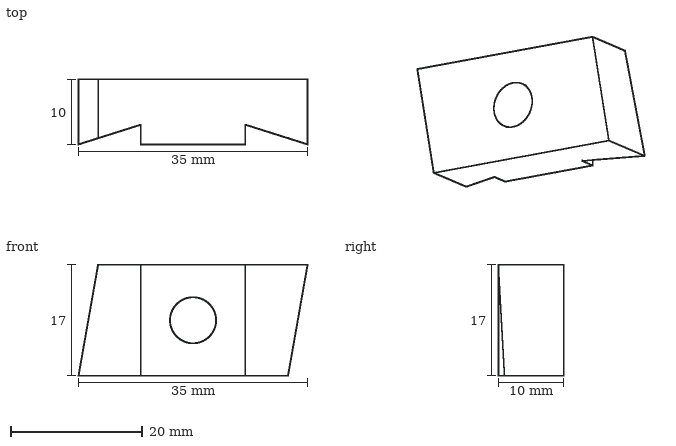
import cadquery as cq
import math

length = 35.0
thickness = 10.0
height = 17.0

end_lean_angle = 10.0
end_lean = height * math.tan(math.radians(end_lean_angle))

pad_width = 16.0
pad_step = 3.0

hole_diameter = 7.0

half_length = length / 2
half_height = height / 2
half_pad = pad_width / 2
front_y = -thickness / 2
back_y = thickness / 2


def profile_bar():
    """Bar with the pad and the two sloping front faces, square at both ends."""
    root_y = front_y + pad_step
    outline = [
        (-half_length, back_y),
        (-half_length, front_y),
        (-half_pad, root_y),
        (-half_pad, front_y),
        (half_pad, front_y),
        (half_pad, root_y),
        (half_length, front_y),
        (half_length, back_y),
    ]
    bar = cq.Workplane("XY").polyline(outline).close().extrude(height)
    return bar.translate((0, 0, -half_height))


def leaning_envelope():
    """Parallelogram block, through the full thickness, that sets the leaning ends."""
    outline = [
        (-half_length, -half_height),
        (half_length - end_lean, -half_height),
        (half_length, half_height),
        (-half_length + end_lean, half_height),
    ]
    return cq.Workplane("XZ").polyline(outline).close().extrude(thickness / 2, both=True)


def through_hole():
    """Cylinder along Y through the centre of the pad."""
    return cq.Workplane("XZ").circle(hole_diameter / 2).extrude(thickness, both=True)


result = profile_bar().intersect(leaning_envelope()).cut(through_hole())